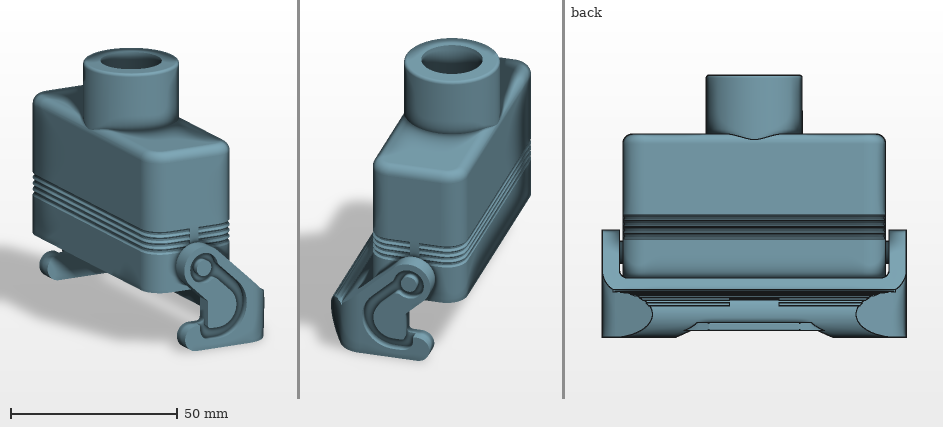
import cadquery as cq
import math

TOTAL_WIDTH = 91.55
TOTAL_HEIGHT = 79.0
HOOD_WIDTH = 79.2
HOOD_DEPTH = 29.5
HOOD_BOTTOM = 17.6
HOOD_TOP = 61.25
HOOD_CORNER_RADIUS = 6.4
HOOD_TOP_FILLET = 2.9

NECK_RADIUS = 14.5
NECK_RIM_FILLET = 0.9
BORE_RADIUS = 9.25

GROOVE_COUNT = 4
GROOVE_PITCH = 1.8
GROOVE_WIDTH = 1.65
GROOVE_DEPTH = 0.55
GROOVE_FLANK_ANGLE = 45
BELT_BOTTOM = 29.7
PLAIN_STRIP_WIDTH = 2.8

ARM_THICKNESS = 5.2
PIVOT_Z = 25.6
PIVOT_LOBE_RADIUS = 6.8
ARM_SLOPE = math.radians(43)
THROAT_Y = 1.4
HOOK_HEIGHT = 7.9
HOOK_CENTER_Y = -2.6
HOOK_FILLET = 1.3
HANDLE_RADIUS = 7.0
HANDLE_Y = 22.0
BAR_INNER_Y = 18.3
INNER_CORNER_RADIUS = 2.7
BAR_END_SLOPE = math.radians(30)
WASHER_RADIUS = 3.4
PIN_RADIUS = 2.5

CHANNEL_DEPTH = 2.7
CHANNEL_WIDTH = 3.6
CHANNEL_BEND_Y = 4.8
CHANNEL_BEND_Z = 12.8
CHANNEL_BEND_RADIUS = 9.9
CHANNEL_END_Y = 2.2
PIVOT_RECESS_RADIUS = 4.8
CHANNEL_FILLET = 1.4

GRIP_GROOVE_COUNT = 5
GRIP_GROOVE_PITCH = 16.0
GRIP_GROOVE_ANGLE = 8.0
GRIP_GROOVE_DEPTH = 0.2
LABEL_WIDTH = 15.0
LABEL_INNER_Y = 27.2
RELIEF_HEIGHT = 2.0
RELIEF_TOP_WIDTH = 38.4
RELIEF_BOTTOM_WIDTH = 47.4
TAB_HEIGHT = 2.5
TAB_OUTER_Y = 29.9
TAB_OUTER_WIDTH = 27.1
TAB_END_SLOPE = math.radians(22)
TAB_FILLET = 0.5

HALF_WIDTH = TOTAL_WIDTH / 2
ARM_INNER_X = HALF_WIDTH - ARM_THICKNESS
HANDLE_OUTER_Y = HANDLE_Y + HANDLE_RADIUS
SLOPE_COS = math.cos(ARM_SLOPE)
SLOPE_SIN = math.sin(ARM_SLOPE)
LOWER_LEFT = math.radians(-135)


def on_circle(center, radius, angle):
    """Point of a circle at an angle in radians."""
    return center[0] + radius * math.cos(angle), center[1] + radius * math.sin(angle)


def side_plane(x):
    """Sketch plane with local axes Y and Z, extruding towards +X."""
    return cq.Workplane("YZ", origin=(x, 0, 0))


def hood_section(z, height, inset=0.0, taper=0.0):
    """Prism with the outline of the hood, moved inwards by inset; negative heights go down."""
    return (
        cq.Workplane("XY", origin=(0, 0, z))
        .sketch()
        .rect(HOOD_WIDTH - 2 * inset, HOOD_DEPTH - 2 * inset)
        .vertices()
        .fillet(HOOD_CORNER_RADIUS - inset)
        .finalize()
        .extrude(height, taper=taper)
    )


def hood_groove(z):
    """Ring of material to remove for one groove with sloped flanks, starting at height z."""
    margin = 1.8
    ring = cq.Workplane("XY", origin=(0, 0, z)).box(
        HOOD_WIDTH + margin, HOOD_DEPTH + margin, GROOVE_WIDTH, centered=(True, True, False)
    )
    lower_flank = hood_section(z, GROOVE_DEPTH, taper=GROOVE_FLANK_ANGLE)
    floor = hood_section(z, GROOVE_WIDTH, inset=GROOVE_DEPTH)
    upper_flank = hood_section(z + GROOVE_WIDTH, -GROOVE_DEPTH, taper=GROOVE_FLANK_ANGLE)
    plain_strip = cq.Workplane("XY", origin=(0, 0, z)).box(
        HOOD_WIDTH + margin, PLAIN_STRIP_WIDTH, GROOVE_WIDTH, centered=(True, True, False)
    )
    return ring.cut(floor).cut(lower_flank).cut(upper_flank).cut(plain_strip)


def make_hood():
    """Hood with its grooves and the cable neck, bored from top to bottom."""
    hood = hood_section(HOOD_BOTTOM, HOOD_TOP - HOOD_BOTTOM)
    hood = hood.faces(">Z").edges().fillet(HOOD_TOP_FILLET)
    for index in range(GROOVE_COUNT):
        hood = hood.cut(hood_groove(BELT_BOTTOM + index * GROOVE_PITCH))
    neck_bottom = HOOD_TOP - HOOD_TOP_FILLET
    neck = (
        cq.Workplane("XY", origin=(0, 0, neck_bottom))
        .circle(NECK_RADIUS)
        .extrude(TOTAL_HEIGHT - neck_bottom)
        .faces(">Z")
        .edges()
        .fillet(NECK_RIM_FILLET)
    )
    bore = cq.Workplane("XY", origin=(0, 0, HOOD_BOTTOM)).circle(BORE_RADIUS).extrude(TOTAL_HEIGHT)
    return hood.union(neck).cut(bore)


def lever_profile():
    """Side shape of the lever, from pivot lobe to hook and handle, across the full width."""
    hook_radius = HOOK_HEIGHT / 2
    pivot = (0, PIVOT_Z)
    upper_tangent = on_circle(pivot, PIVOT_LOBE_RADIUS, math.pi / 2 - ARM_SLOPE)
    lower_tangent = on_circle(pivot, PIVOT_LOBE_RADIUS, -math.pi / 2 - ARM_SLOPE)
    slope_end_z = upper_tangent[1] - (HANDLE_Y - upper_tangent[0]) * math.tan(ARM_SLOPE)
    throat_top_z = lower_tangent[1] - (THROAT_Y - lower_tangent[0]) * math.tan(ARM_SLOPE)
    profile = (
        side_plane(-HALF_WIDTH)
        .moveTo(*lower_tangent)
        .threePointArc(on_circle(pivot, PIVOT_LOBE_RADIUS, math.pi - ARM_SLOPE), upper_tangent)
        .lineTo(HANDLE_Y, slope_end_z)
        .lineTo(HANDLE_Y, 2 * HANDLE_RADIUS)
        .threePointArc((HANDLE_OUTER_Y, HANDLE_RADIUS), (HANDLE_Y, 0))
        .lineTo(HOOK_CENTER_Y, 0)
        .threePointArc((HOOK_CENTER_Y - hook_radius, hook_radius), (HOOK_CENTER_Y, HOOK_HEIGHT))
        .lineTo(THROAT_Y, HOOK_HEIGHT)
        .lineTo(THROAT_Y, throat_top_z)
        .close()
        .extrude(TOTAL_WIDTH)
    )
    throat_corner = cq.selectors.NearestToPointSelector((0, THROAT_Y, HOOK_HEIGHT))
    return profile.edges("|X").edges(throat_corner).fillet(HOOK_FILLET)


def lever_plan():
    """Outline of the lever from above: rounded corners, bar ends slanting to the handle, open front."""
    corner_y = BAR_INNER_Y - INNER_CORNER_RADIUS
    corner_x = ARM_INNER_X - INNER_CORNER_RADIUS
    outer_radius = INNER_CORNER_RADIUS + ARM_THICKNESS
    front_y = -2 * PIVOT_LOBE_RADIUS
    turn = math.pi / 2 - BAR_END_SLOPE
    middle = on_circle((corner_x, corner_y), outer_radius, turn / 2)
    slant_start = on_circle((corner_x, corner_y), outer_radius, turn)
    slant_end_x = slant_start[0] - (HANDLE_OUTER_Y - slant_start[1]) / math.tan(BAR_END_SLOPE)
    outline = (
        cq.Workplane("XY")
        .moveTo(HALF_WIDTH, front_y)
        .lineTo(HALF_WIDTH, corner_y)
        .threePointArc(middle, slant_start)
        .lineTo(slant_end_x, HANDLE_OUTER_Y)
        .lineTo(-slant_end_x, HANDLE_OUTER_Y)
        .lineTo(-slant_start[0], slant_start[1])
        .threePointArc((-middle[0], middle[1]), (-HALF_WIDTH, corner_y))
        .lineTo(-HALF_WIDTH, front_y)
        .close()
        .extrude(TOTAL_HEIGHT)
    )
    opening = (
        cq.Workplane("XY")
        .moveTo(0, (front_y + BAR_INNER_Y) / 2)
        .rect(2 * ARM_INNER_X, BAR_INNER_Y - front_y)
        .extrude(TOTAL_HEIGHT)
        .edges("|Z and >Y")
        .fillet(INNER_CORNER_RADIUS)
    )
    return outline.cut(opening)


def arm_channel(x):
    """Channel from the pivot down the arm and round the bend to the hook, starting at x."""
    bend = (CHANNEL_BEND_Y, CHANNEL_BEND_Z)
    inner_radius = CHANNEL_BEND_RADIUS - CHANNEL_WIDTH
    slope_angle = math.pi / 2 - ARM_SLOPE
    middle_angle = (slope_angle - math.pi / 2) / 2
    outer_start = on_circle(bend, CHANNEL_BEND_RADIUS, slope_angle)
    inner_start = on_circle(bend, inner_radius, slope_angle)
    run = bend[0] * SLOPE_COS + (PIVOT_Z - bend[1]) * SLOPE_SIN
    outer_top = (outer_start[0] - run * SLOPE_COS, outer_start[1] + run * SLOPE_SIN)
    inner_top = (inner_start[0] - run * SLOPE_COS, inner_start[1] + run * SLOPE_SIN)
    floor_z = bend[1] - CHANNEL_BEND_RADIUS
    end_center = (CHANNEL_END_Y, floor_z + CHANNEL_WIDTH)
    end_y = CHANNEL_END_Y - CHANNEL_WIDTH
    mouth_z = HOOK_HEIGHT + HOOK_FILLET
    lip_radius = CHANNEL_END_Y - THROAT_Y
    lip_center = (CHANNEL_END_Y, end_center[1] + lip_radius)
    channel = (
        side_plane(x)
        .moveTo(*outer_top)
        .lineTo(*outer_start)
        .threePointArc(on_circle(bend, CHANNEL_BEND_RADIUS, middle_angle), (bend[0], floor_z))
        .lineTo(CHANNEL_END_Y, floor_z)
        .threePointArc(on_circle(end_center, CHANNEL_WIDTH, LOWER_LEFT), (end_y, end_center[1]))
        .lineTo(end_y, mouth_z)
        .lineTo(THROAT_Y, mouth_z)
        .lineTo(THROAT_Y, end_center[1] + lip_radius)
        .threePointArc(on_circle(lip_center, lip_radius, LOWER_LEFT), (CHANNEL_END_Y, end_center[1]))
        .lineTo(bend[0], end_center[1])
        .threePointArc(on_circle(bend, inner_radius, middle_angle), inner_start)
        .lineTo(*inner_top)
        .close()
        .extrude(CHANNEL_DEPTH)
    )
    recess = side_plane(x).center(0, PIVOT_Z).circle(PIVOT_RECESS_RADIUS).extrude(CHANNEL_DEPTH)
    pin = side_plane(x).center(0, PIVOT_Z).circle(PIN_RADIUS).extrude(CHANNEL_DEPTH)
    channel = channel.union(recess)
    for level_point in (outer_top, inner_top):
        offset = math.hypot(level_point[0], level_point[1] - PIVOT_Z)
        reach = math.sqrt(PIVOT_RECESS_RADIUS**2 - offset**2)
        corner = (x, level_point[0] + reach * SLOPE_COS, level_point[1] - reach * SLOPE_SIN)
        edge = cq.selectors.NearestToPointSelector(corner)
        channel = channel.edges("|X").edges(edge).fillet(CHANNEL_FILLET)
    return channel.cut(pin)


def grip_groove(index):
    """Shallow arc-shaped groove along the handle; the first one is halved by the arm slope."""
    handle_axis = (HANDLE_Y, HANDLE_RADIUS)
    floor_radius = HANDLE_RADIUS - GRIP_GROOVE_DEPTH
    clear_radius = HANDLE_RADIUS + 2 * GRIP_GROOVE_DEPTH
    center = math.pi / 2 - math.radians(index * GRIP_GROOVE_PITCH)
    low = center - math.radians(GRIP_GROOVE_ANGLE / 2)
    high = min(center + math.radians(GRIP_GROOVE_ANGLE / 2), math.pi / 2)
    middle = (low + high) / 2
    return (
        side_plane(-HALF_WIDTH)
        .moveTo(*on_circle(handle_axis, floor_radius, low))
        .threePointArc(
            on_circle(handle_axis, floor_radius, middle), on_circle(handle_axis, floor_radius, high)
        )
        .lineTo(*on_circle(handle_axis, clear_radius, high))
        .threePointArc(
            on_circle(handle_axis, clear_radius, middle), on_circle(handle_axis, clear_radius, low)
        )
        .close()
        .extrude(TOTAL_WIDTH)
    )


def label_pad():
    """Block over the middle of the handle that the grip grooves leave plain."""
    return cq.Workplane("XY", origin=(0, LABEL_INNER_Y, 0)).box(
        LABEL_WIDTH, TOTAL_WIDTH, TOTAL_HEIGHT, centered=(True, False, False)
    )


def bar_relief():
    """Trapezoidal cut under the middle of the handle bar."""
    return (
        cq.Workplane("XZ", origin=(0, HANDLE_OUTER_Y, 0))
        .polyline(
            [
                (-RELIEF_BOTTOM_WIDTH / 2, 0),
                (RELIEF_BOTTOM_WIDTH / 2, 0),
                (RELIEF_TOP_WIDTH / 2, RELIEF_HEIGHT),
                (-RELIEF_TOP_WIDTH / 2, RELIEF_HEIGHT),
            ]
        )
        .close()
        .extrude(HANDLE_OUTER_Y - BAR_INNER_Y)
    )


def finger_tab():
    """Thin tab behind the handle with slanted ends."""
    root_half_width = TAB_OUTER_WIDTH / 2 + (TAB_OUTER_Y - HANDLE_Y) / math.tan(TAB_END_SLOPE)
    tab = (
        cq.Workplane("XY", origin=(0, 0, RELIEF_HEIGHT))
        .polyline(
            [
                (-root_half_width, HANDLE_Y),
                (root_half_width, HANDLE_Y),
                (TAB_OUTER_WIDTH / 2, TAB_OUTER_Y),
                (-TAB_OUTER_WIDTH / 2, TAB_OUTER_Y),
            ]
        )
        .close()
        .extrude(TAB_HEIGHT)
    )
    return tab.faces(">Y").edges().fillet(TAB_FILLET)


def make_lever():
    """Lever with channels in both arms, grip grooves, relief, finger tab and pivot washers."""
    lever = lever_profile().intersect(lever_plan())
    for index in range(GRIP_GROOVE_COUNT):
        lever = lever.cut(grip_groove(index).cut(label_pad()))
    lever = lever.cut(bar_relief()).union(finger_tab())
    channel = arm_channel(-HALF_WIDTH)
    hood_end = HOOD_WIDTH / 2
    washer = (
        side_plane(-ARM_INNER_X).center(0, PIVOT_Z).circle(WASHER_RADIUS).extrude(ARM_INNER_X - hood_end)
    )
    lever = lever.cut(channel).cut(channel.mirror("YZ"))
    return lever.union(washer).union(washer.mirror("YZ"))


result = make_hood().union(make_lever())